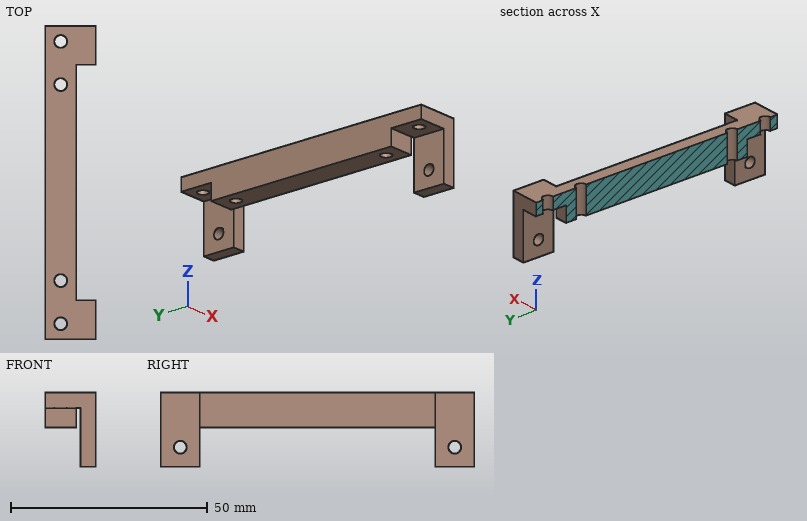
import cadquery as cq

width = 13.0
length = 80.0
height = 19.0

plate_thickness = 4.0
bar_width = 8.0
bar_height = 9.0
leg_thickness = 4.0
end_length = 10.0

hole_diameter = 3.2
top_hole_x = bar_width / 2
top_hole_offsets = (4.0, 15.0)
leg_hole_y_offset = end_length / 2
leg_hole_height = 5.0

span = length - 2 * end_length
top_z = height


def box_at(x, y, z, dx, dy, dz):
    """Box with its lowest corner at (x, y, z)."""
    return cq.Workplane("XY").box(dx, dy, dz, centered=False).translate((x, y, z))


def make_bar():
    """Deep bar between the ends, with a thinner plate running full length."""
    bar = box_at(0, end_length, top_z - bar_height, bar_width, span, bar_height)
    plate = box_at(0, 0, top_z - plate_thickness, bar_width, length, plate_thickness)
    return bar.union(plate)


def make_end(y):
    """L-shaped end bracket: a wide top pad and a leg hanging from its outer edge."""
    pad = box_at(0, y, top_z - plate_thickness, width, end_length, plate_thickness)
    leg = box_at(width - leg_thickness, y, 0, leg_thickness, end_length, height)
    return pad.union(leg)


def top_holes():
    """Vertical through holes, mirrored about the middle of the length."""
    points = []
    for offset in top_hole_offsets:
        points.append((top_hole_x, offset))
        points.append((top_hole_x, length - offset))
    return cq.Workplane("XY").pushPoints(points).circle(hole_diameter / 2).extrude(height)


def leg_holes():
    """Horizontal through holes, one in each leg."""
    points = [
        (leg_hole_y_offset, leg_hole_height),
        (length - leg_hole_y_offset, leg_hole_height),
    ]
    return cq.Workplane("YZ").pushPoints(points).circle(hole_diameter / 2).extrude(width)


body = make_bar()
for end_y in (0, length - end_length):
    body = body.union(make_end(end_y))

result = body.cut(top_holes()).cut(leg_holes()).clean()